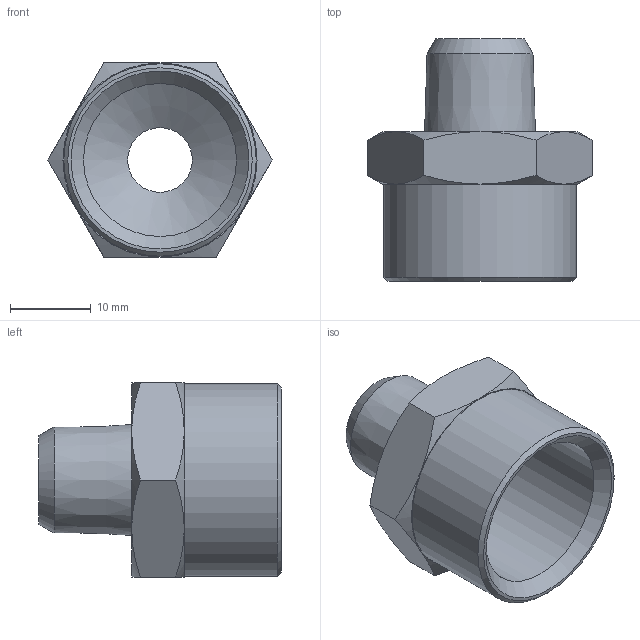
import cadquery as cq
import math


socket_length = 12.0
hex_length = 6.5
overall_length = 30.0

hex_sides = 6
across_flats = 24.0
across_corners = across_flats / math.cos(math.pi / hex_sides)
hex_chamfer_angle = 30.0

socket_radius = 11.9
socket_edge_chamfer = 0.5
mouth_radius = 11.0
bore_radius = 9.45
mouth_chamfer_angle = 45.0
bore_depth = 15.0
drill_point_angle = 118.0

nipple_tip_radius = 6.55
nipple_face_radius = 5.45
nipple_lead_length = 1.9
pipe_taper = 1 / 16

through_radius = 4.0

hex_end = socket_length + hex_length
lead_start = overall_length - nipple_lead_length


def revolve_profile(points):
    """Revolve a closed (radius, axial position) outline about the Y axis."""
    return cq.Workplane("XY").polyline(points).close().revolve(360, (0, 0, 0), (0, 1, 0))


def make_hexagon():
    """Hexagonal collar with corners on the X axis, both ends chamfered conically."""
    flat_radius = across_flats / 2
    corner_radius = across_corners / 2
    corner_drop = (corner_radius - flat_radius) * math.tan(math.radians(hex_chamfer_angle))
    prism = (
        cq.Workplane("XZ", origin=(0, hex_end, 0))
        .polygon(hex_sides, across_corners)
        .extrude(hex_length)
    )
    envelope = revolve_profile([
        (0, socket_length),
        (flat_radius, socket_length),
        (corner_radius, socket_length + corner_drop),
        (corner_radius, hex_end - corner_drop),
        (flat_radius, hex_end),
        (0, hex_end),
    ])
    return prism.intersect(envelope)


def make_socket_body():
    """Cylindrical socket wall with a chamfered outer rim."""
    return revolve_profile([
        (0, 0),
        (socket_radius - socket_edge_chamfer, 0),
        (socket_radius, socket_edge_chamfer),
        (socket_radius, socket_length),
        (0, socket_length),
    ])


def make_nipple():
    """Tapered pipe nipple with a conical lead-in at its tip."""
    nipple_root_radius = nipple_tip_radius + (lead_start - hex_end) * pipe_taper / 2
    return revolve_profile([
        (0, hex_end),
        (nipple_root_radius, hex_end),
        (nipple_tip_radius, lead_start),
        (nipple_face_radius, overall_length),
        (0, overall_length),
    ])


def make_bore():
    """Countersunk socket bore with a drill-point bottom, running into the through hole."""
    mouth_depth = (mouth_radius - bore_radius) / math.tan(math.radians(mouth_chamfer_angle))
    point_length = (bore_radius - through_radius) / math.tan(math.radians(drill_point_angle / 2))
    return revolve_profile([
        (0, 0),
        (mouth_radius, 0),
        (bore_radius, mouth_depth),
        (bore_radius, bore_depth),
        (through_radius, bore_depth + point_length),
        (through_radius, overall_length),
        (0, overall_length),
    ])


result = make_socket_body().union(make_hexagon()).union(make_nipple()).cut(make_bore())